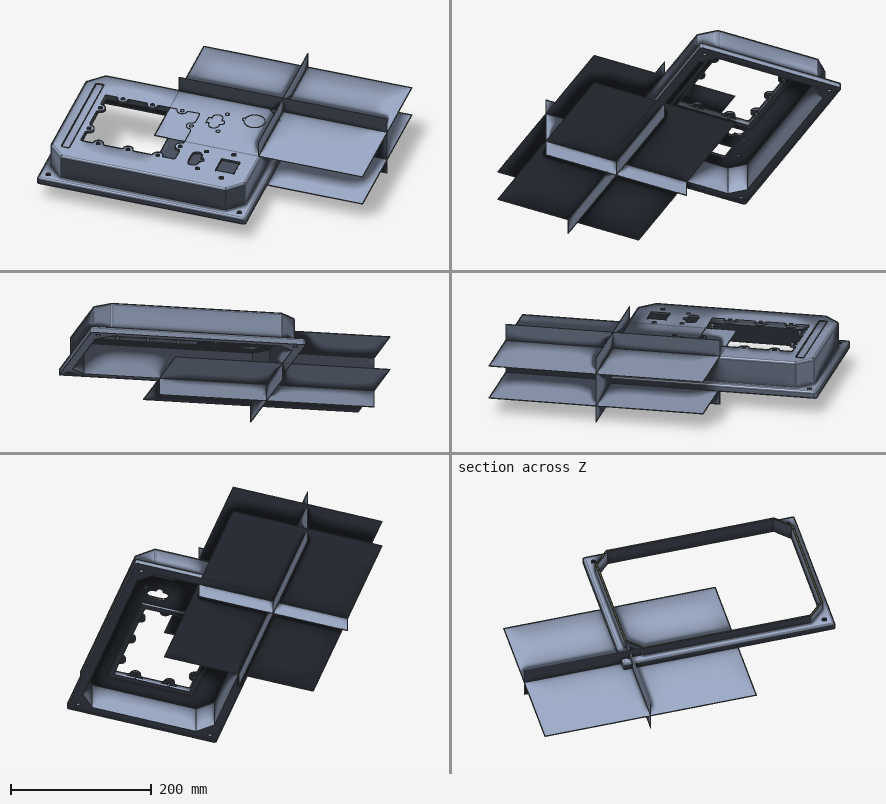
import cadquery as cq

INCH = 25.4

FLANGE_LENGTH = 12.262 * INCH
FLANGE_WIDTH = 8.762 * INCH
FLANGE_THICKNESS = 0.375 * INCH
FLANGE_CORNER_RADIUS = 3.1
FLANGE_EDGE_RADIUS = 2.8
CORNER_HOLE_INSET = 0.5 * INCH
CORNER_HOLE_DIAMETER = 6.15
CENTER_X = CORNER_HOLE_INSET - FLANGE_LENGTH / 2
CENTER_Y = CORNER_HOLE_INSET - FLANGE_WIDTH / 2

HEIGHT = 1.9 * INCH
WALL = 0.125 * INCH
HOUSING_LENGTH = 11.5 * INCH
HOUSING_WIDTH = 8 * INCH
CORNER_CUT = 22.5
HOUSING_CORNER_RADIUS = 3.1
HOUSING_EDGE_RADIUS = 3.0
FOOT_RADIUS = 1.27

CUT_BOTTOM = HEIGHT - WALL
CUT_DEPTH = 2 * WALL

WINDOW_X = CENTER_X - 1.5 * INCH
WINDOW_LENGTH = 141.4
WINDOW_WIDTH = 113.6
WINDOW_CORNER_RADIUS = 3.0
RIM_WALL = 0.25 * INCH
RIM_DEPTH = 4.5
TAB_RADIUS = 7.3
LONG_SIDE_TAB_ROOT_RADIUS = 3.0
SHORT_SIDE_TAB_ROOT_RADIUS = 4.5
TAB_HOLE_DIAMETER = 5.41
LONG_SIDE_TAB_PITCH = 1.75 * INCH
LONG_SIDE_TAB_OFFSET = 55.4
SHORT_SIDE_TAB_PITCH = 2 * INCH
SHORT_SIDE_TAB_OFFSET = 68.2

CONNECTOR_X = -83.8
CONNECTOR_OFFSET_Y = 46.4
CONNECTOR_LENGTH = 32.1
CONNECTOR_WIDTH = 15.3
BULGE_X = -75.5
BULGE_RADIUS = 5.0
KEY_LENGTH = 12.1
KEY_LEFT_X = -96.0
CONNECTOR_HOLE_X = -73.3
CONNECTOR_HOLE_PITCH = 42.2
CONNECTOR_HOLE_DIAMETER = 5.79

SOCKET_X = -34.1
SOCKET_Y = -147.6
SOCKET_LENGTH = 27.4
SOCKET_WIDTH = 28.8
SOCKET_HOLE_PITCH = 2.25 * INCH
SOCKET_HOLE_DIAMETER = 6.35

ROUND_X = -31.2
ROUND_Y = -34.6
ROUND_RADIUS = 15.0
NOTCH_DIAMETER = 6.03

RECESS_X = -267.4
RECESS_LENGTH = 158.2
RECESS_WIDTH = 12.4
RECESS_DEPTH = 0.8
RECESS_SLOPE_DEGREES = 45
RECESS_CORNER_RADIUS = 3.0

SHEET_THICKNESS = 0.01
SHEET_HEIGHT = 2 * HEIGHT


def block(length, width, height, x, y, z):
    """A box centred on x and y, standing on z."""
    return cq.Workplane("XY").box(length, width, height, centered=(True, True, False)).translate((x, y, z))


def cover_plane(x, y):
    """A workplane at the underside of the cover, centred on x and y."""
    return cq.Workplane("XY").workplane(offset=CUT_BOTTOM).center(x, y)


def housing_prism(inset, height):
    """The cut-cornered outline of the housing, offset inwards by inset."""
    corner_cut = CORNER_CUT - inset * (2 - 2**0.5)
    prism = block(HOUSING_LENGTH - 2 * inset, HOUSING_WIDTH - 2 * inset, height, CENTER_X, CENTER_Y, 0)
    return prism.edges("|Z").chamfer(corner_cut)


def make_flange():
    flange = block(FLANGE_LENGTH, FLANGE_WIDTH, FLANGE_THICKNESS, CENTER_X, CENTER_Y, 0)
    flange = flange.edges("|Z").fillet(FLANGE_CORNER_RADIUS)
    return flange.faces(">Z").edges().fillet(FLANGE_EDGE_RADIUS)


def foot_edges():
    """Selects the edges where the housing wall meets the top of the flange."""
    margin = 0.1
    half_length = HOUSING_LENGTH / 2 + margin
    half_width = HOUSING_WIDTH / 2 + margin
    return cq.selectors.BoxSelector(
        (CENTER_X - half_length, CENTER_Y - half_width, FLANGE_THICKNESS - margin),
        (CENTER_X + half_length, CENTER_Y + half_width, FLANGE_THICKNESS + margin),
        boundingbox=True,
    )


def make_housing():
    tray = housing_prism(0, HEIGHT).edges("|Z").fillet(HOUSING_CORNER_RADIUS)
    tray = tray.faces(">Z").edges().fillet(HOUSING_EDGE_RADIUS)
    housing = make_flange().union(tray).edges(foot_edges()).fillet(FOOT_RADIUS)
    return housing.cut(housing_prism(WALL, HEIGHT - WALL))


def corner_holes():
    pitch_x = FLANGE_LENGTH - 2 * CORNER_HOLE_INSET
    pitch_y = FLANGE_WIDTH - 2 * CORNER_HOLE_INSET
    centers = cq.Workplane("XY").center(CENTER_X, CENTER_Y).rarray(pitch_x, pitch_y, 2, 2)
    return centers.circle(CORNER_HOLE_DIAMETER / 2).extrude(FLANGE_THICKNESS)


def tab_centers():
    """Tab positions from the window's centre: three on each long side, two on each short side."""
    centers = []
    for side in (-1, 1):
        for step in (-1, 0, 1):
            centers.append((step * LONG_SIDE_TAB_PITCH, side * LONG_SIDE_TAB_OFFSET))
        for step in (-0.5, 0.5):
            centers.append((side * SHORT_SIDE_TAB_OFFSET, step * SHORT_SIDE_TAB_PITCH))
    return centers


def window_prism(z, height):
    prism = block(WINDOW_LENGTH, WINDOW_WIDTH, height, WINDOW_X, CENTER_Y, z)
    return prism.edges("|Z").fillet(WINDOW_CORNER_RADIUS)


def window_rim():
    rim_bottom = CUT_BOTTOM - RIM_DEPTH
    length = WINDOW_LENGTH + 2 * RIM_WALL
    width = WINDOW_WIDTH + 2 * RIM_WALL
    rim = block(length, width, RIM_DEPTH, WINDOW_X, CENTER_Y, rim_bottom)
    return rim.cut(window_prism(rim_bottom, RIM_DEPTH))


def tab_root_edges(half_length, half_width):
    """Selects the edges of the window opening within this distance of the window's centre."""
    return cq.selectors.BoxSelector(
        (WINDOW_X - half_length, CENTER_Y - half_width, CUT_BOTTOM),
        (WINDOW_X + half_length, CENTER_Y + half_width, CUT_BOTTOM + CUT_DEPTH),
    )


def window_cutout():
    """The opening in the cover, leaving the tabs with blended roots; the tab holes are separate."""
    centers = cover_plane(WINDOW_X, CENTER_Y).pushPoints(tab_centers())
    opening = window_prism(CUT_BOTTOM, CUT_DEPTH).cut(centers.circle(TAB_RADIUS).extrude(CUT_DEPTH))
    long_side_roots = tab_root_edges(WINDOW_LENGTH / 2 - TAB_RADIUS, WINDOW_WIDTH)
    short_side_roots = tab_root_edges(WINDOW_LENGTH, WINDOW_WIDTH / 2 - TAB_RADIUS)
    opening = opening.edges("|Z").edges(long_side_roots).fillet(LONG_SIDE_TAB_ROOT_RADIUS)
    return opening.edges("|Z").edges(short_side_roots).fillet(SHORT_SIDE_TAB_ROOT_RADIUS)


def tab_holes():
    bottom = cover_plane(WINDOW_X, CENTER_Y).workplane(offset=-RIM_DEPTH)
    return bottom.pushPoints(tab_centers()).circle(TAB_HOLE_DIAMETER / 2).extrude(RIM_DEPTH + CUT_DEPTH)


def hole_pair(x, y, pitch, diameter):
    return cover_plane(x, y).rarray(1, pitch, 1, 2).circle(diameter / 2).extrude(CUT_DEPTH)


def connector_cutout(y):
    slot = cover_plane(CONNECTOR_X, y).slot2D(CONNECTOR_LENGTH, CONNECTOR_WIDTH, 90).extrude(CUT_DEPTH)
    bulge = cover_plane(BULGE_X, y).circle(BULGE_RADIUS).extrude(CUT_DEPTH)
    holes = hole_pair(CONNECTOR_HOLE_X, y, CONNECTOR_HOLE_PITCH, CONNECTOR_HOLE_DIAMETER)
    return slot.union(bulge).union(holes)


def keyed_connector_cutout(y):
    key_width = CONNECTOR_X - KEY_LEFT_X
    key = cover_plane(KEY_LEFT_X + key_width / 2, y).rect(key_width, KEY_LENGTH).extrude(CUT_DEPTH)
    return connector_cutout(y).union(key)


def socket_cutout():
    opening = cover_plane(SOCKET_X, SOCKET_Y).rect(SOCKET_LENGTH, SOCKET_WIDTH).extrude(CUT_DEPTH)
    return opening.union(hole_pair(SOCKET_X, SOCKET_Y, SOCKET_HOLE_PITCH, SOCKET_HOLE_DIAMETER))


def round_cutout():
    opening = cover_plane(ROUND_X, ROUND_Y).circle(ROUND_RADIUS).extrude(CUT_DEPTH)
    notch = cover_plane(ROUND_X - ROUND_RADIUS, ROUND_Y).circle(NOTCH_DIAMETER / 2).extrude(CUT_DEPTH)
    return opening.union(notch)


def label_recess():
    outline = cq.Sketch().rect(RECESS_WIDTH, RECESS_LENGTH).vertices().fillet(RECESS_CORNER_RADIUS)
    cover_top = cq.Workplane("XY").workplane(offset=HEIGHT).center(RECESS_X, CENTER_Y)
    return cover_top.placeSketch(outline).extrude(-RECESS_DEPTH, taper=RECESS_SLOPE_DEGREES)


def crossing_sheets():
    """Two level sheets flush with the cover and the underside, and two upright ones across them."""
    upright_z = (HEIGHT - SHEET_HEIGHT) / 2
    return [
        block(FLANGE_LENGTH, FLANGE_WIDTH, SHEET_THICKNESS, 0, 0, HEIGHT - SHEET_THICKNESS),
        block(FLANGE_LENGTH, FLANGE_WIDTH, SHEET_THICKNESS, 0, 0, 0),
        block(FLANGE_LENGTH, SHEET_THICKNESS, SHEET_HEIGHT, 0, 0, upright_z),
        block(SHEET_THICKNESS, FLANGE_WIDTH, SHEET_HEIGHT, 0, 0, upright_z),
    ]


cutouts = [
    corner_holes(),
    window_cutout(),
    keyed_connector_cutout(CENTER_Y + CONNECTOR_OFFSET_Y),
    connector_cutout(CENTER_Y - CONNECTOR_OFFSET_Y),
    socket_cutout(),
    round_cutout(),
    label_recess(),
]

part = make_housing()
for cutout in cutouts:
    part = part.cut(cutout)

part = part.union(window_rim(), clean=False).cut(tab_holes(), clean=False)
for sheet in crossing_sheets():
    part = part.union(sheet, clean=False)

result = part